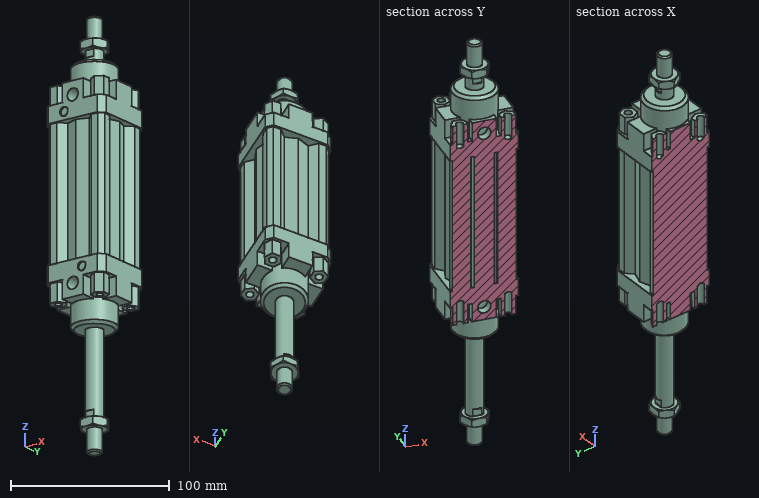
import cadquery as cq
import math


housing_length = 176.0
collar_length = 16.0
header_length = 25.0
collar_end = housing_length / 2
header_end = collar_end - collar_length
barrel_end = header_end - header_length

barrel_width = 43.5
barrel_corner_chamfer = 3.2
barrel_groove_edge = 13.3
barrel_groove_bottom = 8.5
barrel_groove_depth = 5.0
barrel_ridge_drop = 2.0

header_width = 46.0
header_corner_chamfer = 4.0
pocket_depth = 13.0
arm_width = 16.5
collar_diameter = 30.2
collar_chamfer = 2.0
bolt_offset = 16.2
bolt_across_flats = 10.2
bolt_hole_diameter = 5.0
bolt_hole_depth = 16.0
drill_point_angle = 118

port_diameter = 8.5
port_inset = 9.3
port_depth = 11.5
screw_diameter = 6.0
screw_inset = 19.0
screw_offset = 7.0
screw_recess_depth = 1.02

rod_diameter = 12.0
rod_top = collar_end + 32.0
rod_bottom = -collar_end - 82.0
thread_diameter = 10.0
thread_length = 22.0
thread_chamfer = 1.02
wrench_across_flats = 10.2
wrench_length = 5.2

nut_across_flats = 17.0
nut_height = 6.0
nut_chamfer_angle = 30


def hexagon_diameter(across_flats):
    """Corner-to-corner diameter of a hexagon."""
    return across_flats / math.cos(math.radians(30))


def make_barrel():
    half = barrel_width / 2
    side = [
        (-half + barrel_corner_chamfer, -half),
        (-barrel_groove_edge, -half),
        (-barrel_groove_bottom, -half + barrel_groove_depth),
        (0, -half + barrel_ridge_drop),
        (barrel_groove_bottom, -half + barrel_groove_depth),
        (barrel_groove_edge, -half),
        (half - barrel_corner_chamfer, -half),
    ]
    outline = []
    for _ in range(4):
        outline += side
        side = [(-y, x) for x, y in side]
    return cq.Workplane("XY").workplane(offset=-barrel_end).polyline(outline).close().extrude(2 * barrel_end)


def make_bolt_hole():
    """Drilled hole with a conical bottom, opening at the header end face."""
    radius = bolt_hole_diameter / 2
    tip_length = radius / math.tan(math.radians(drill_point_angle / 2))
    wall_end = header_end - bolt_hole_depth
    return (
        cq.Workplane("XZ")
        .polyline([(0, header_end), (radius, header_end), (radius, wall_end), (0, wall_end - tip_length)])
        .close()
        .revolve(360, (0, 0, 0), (0, 1, 0))
    )


def make_face_hole(diameter, depth, x, inset):
    """Cutter for a blind round hole in the -Y face of the upper header."""
    return (
        cq.Workplane("XZ", origin=(x, -header_width / 2, header_end - inset))
        .circle(diameter / 2)
        .extrude(-depth)
    )


def make_upper_cap(screw_x):
    """Header with its four bolts, ports and collar, at the upper end of the barrel."""
    pocket_floor = header_end - pocket_depth
    cap = (
        cq.Workplane("XY")
        .workplane(offset=barrel_end)
        .rect(header_width, header_width)
        .extrude(header_length - pocket_depth)
        .edges("|Z")
        .chamfer(header_corner_chamfer)
    )
    above_floor = cq.Workplane("XY").workplane(offset=pocket_floor)
    cap = cap.union(above_floor.rect(header_width, arm_width).extrude(pocket_depth))
    cap = cap.union(above_floor.rect(arm_width, header_width).extrude(pocket_depth))
    collar = above_floor.circle(collar_diameter / 2).extrude(pocket_depth + collar_length)
    cap = cap.union(collar.faces(">Z").chamfer(collar_chamfer))

    bolt = above_floor.polygon(6, hexagon_diameter(bolt_across_flats)).extrude(pocket_depth)
    hole = make_bolt_hole()
    corner_bolt = bolt.translate((bolt_offset, bolt_offset, 0))
    corner_hole = hole.translate((bolt_offset, bolt_offset, 0))
    for quarter in range(4):
        turn = ((0, 0, 0), (0, 0, 1), 90 * quarter)
        cap = cap.union(corner_bolt.rotate(*turn)).cut(corner_hole.rotate(*turn))

    cap = cap.cut(make_face_hole(port_diameter, port_depth, 0, port_inset))
    return cap.cut(make_face_hole(screw_diameter, screw_recess_depth, screw_x, screw_inset))


def make_housing():
    upper_cap = make_upper_cap(-screw_offset)
    lower_cap = make_upper_cap(screw_offset).mirror("XY")
    rod_bore = (
        cq.Workplane("XY").workplane(offset=-collar_end).circle(rod_diameter / 2).extrude(housing_length)
    )
    return make_barrel().union(upper_cap).union(lower_cap).cut(rod_bore)


def make_rod():
    shank_bottom = rod_bottom + thread_length
    shank_top = rod_top - thread_length
    shank = (
        cq.Workplane("XY")
        .workplane(offset=shank_bottom)
        .circle(rod_diameter / 2)
        .extrude(shank_top - shank_bottom)
    )
    flat_cut_center = (wrench_across_flats + rod_diameter) / 2
    for start in (shank_bottom, shank_top - wrench_length):
        outside_flats = (
            cq.Workplane("XY")
            .workplane(offset=start)
            .pushPoints([(0, flat_cut_center), (0, -flat_cut_center)])
            .rect(2 * rod_diameter, rod_diameter)
            .extrude(wrench_length)
        )
        shank = shank.cut(outside_flats)
    thread = (
        cq.Workplane("XY")
        .workplane(offset=rod_bottom)
        .circle(thread_diameter / 2)
        .extrude(rod_top - rod_bottom)
        .faces("<Z or >Z")
        .chamfer(thread_chamfer)
    )
    return shank.union(thread)


def make_nut(bottom):
    """Hexagon nut with its corners on the X axis and both ends turned conically."""
    corner_radius = hexagon_diameter(nut_across_flats) / 2
    flat_radius = nut_across_flats / 2
    cone_height = (corner_radius - flat_radius) * math.tan(math.radians(nut_chamfer_angle))
    turned_blank = (
        cq.Workplane("XZ")
        .polyline([
            (0, bottom),
            (flat_radius, bottom),
            (corner_radius, bottom + cone_height),
            (corner_radius, bottom + nut_height - cone_height),
            (flat_radius, bottom + nut_height),
            (0, bottom + nut_height),
        ])
        .close()
        .revolve(360, (0, 0, 0), (0, 1, 0))
    )
    return (
        cq.Workplane("XY")
        .workplane(offset=bottom)
        .polygon(6, 2 * corner_radius)
        .circle(thread_diameter / 2)
        .extrude(nut_height)
        .intersect(turned_blank)
    )


housing = make_housing()
rod = make_rod()
nut_bottoms = (rod_top - thread_length, rod_bottom + thread_length - nut_height)
nuts = [make_nut(bottom) for bottom in nut_bottoms]

result = cq.Compound.makeCompound([housing.val(), rod.val(), *[nut.val() for nut in nuts]])